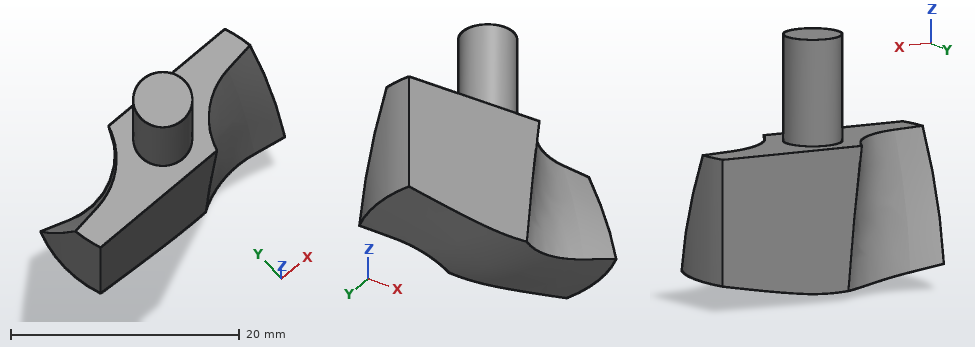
import cadquery as cq
import math

total_height = 23.3
cutter_diameter = 23.2
cutter_thickness = 8.06
shank_diameter = 5.2
head_top = 13.77
point_height = 2.42

flute_radius = 6.97
lip_start_x = 8.57
lip_start_y = 1.03
lip_angle = 7.7
twist_rate = 2.318
clearance = 1.16

cutter_radius = cutter_diameter / 2
flute_reach = cutter_diameter


def make_head():
    """Conical-pointed round blank, flattened to a thick blade."""
    blank = (
        cq.Workplane("XZ")
        .moveTo(0, 0)
        .lineTo(cutter_radius, point_height)
        .lineTo(cutter_radius, head_top)
        .lineTo(0, head_top)
        .close()
        .revolve(360, (0, 0), (0, 1))
    )
    slab = cq.Workplane("XY").box(
        cutter_diameter, cutter_thickness, head_top, centered=(True, True, False)
    )
    return blank.intersect(slab)


def make_flute():
    """Helical flute: a straight lip running tangentially into a round gullet."""
    slope = math.radians(lip_angle)
    center_x = lip_start_x + flute_radius * math.sin(slope)
    center_y = lip_start_y - flute_radius * math.cos(slope)
    arc_middle_angle = (math.pi + math.pi / 2 + slope) / 2
    arc_middle = (
        center_x + flute_radius * math.cos(arc_middle_angle),
        center_y + flute_radius * math.sin(arc_middle_angle),
    )
    lip_end_y = lip_start_y + (flute_reach - lip_start_x) * math.tan(slope)

    bottom = -clearance
    length = head_top + clearance - bottom
    turn_below_top = twist_rate * (head_top - bottom)
    return (
        cq.Workplane("XY")
        .moveTo(center_x - flute_radius, center_y)
        .threePointArc(arc_middle, (lip_start_x, lip_start_y))
        .lineTo(flute_reach, lip_end_y)
        .lineTo(flute_reach, center_y)
        .close()
        .twistExtrude(length, twist_rate * length)
        .rotate((0, 0, 0), (0, 0, 1), -turn_below_top)
        .translate((0, 0, bottom))
    )


head = make_head()
flute = make_flute()
for flute_angle in (0, 180):
    head = head.cut(flute.rotate((0, 0, 0), (0, 0, 1), flute_angle))

shank = (
    cq.Workplane("XY")
    .workplane(offset=head_top)
    .circle(shank_diameter / 2)
    .extrude(total_height - head_top)
)

result = head.union(shank)